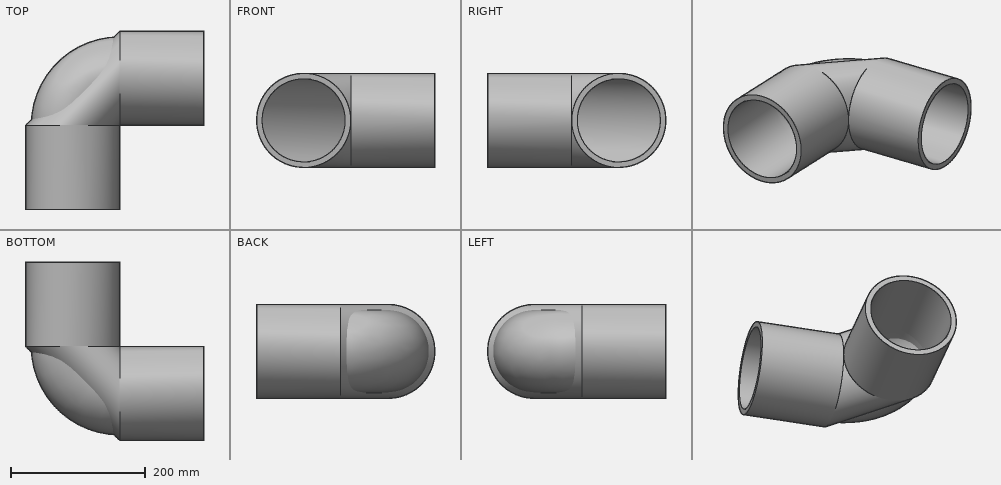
import cadquery as cq

OUTER_DIAMETER = 140.0
WALL_THICKNESS = 8.3
LEG_LENGTH = 125.0

OUTER_RADIUS = OUTER_DIAMETER / 2
BORE_RADIUS = OUTER_RADIUS - WALL_THICKNESS
BEND_RADIUS = OUTER_RADIUS
LEG_END = BEND_RADIUS + LEG_LENGTH


def center_line():
    """Pipe axis: in along Y, round a quarter turn, and out along X."""
    return (
        cq.Workplane("XY")
        .moveTo(0, -LEG_END)
        .lineTo(0, -BEND_RADIUS)
        .tangentArcPoint((BEND_RADIUS, 0), relative=False)
        .lineTo(LEG_END, 0)
    )


def pipe(path):
    """Ring-shaped pipe section carried along the path from the open end of the Y leg."""
    section = cq.Workplane("XZ", origin=(0, -LEG_END, 0)).circle(OUTER_RADIUS).circle(BORE_RADIUS)
    return section.sweep(path)


result = pipe(center_line())